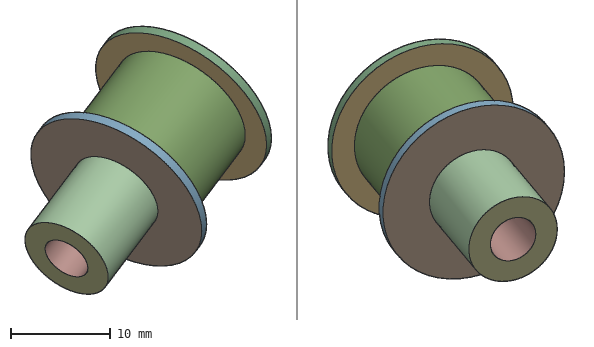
import cadquery as cq

total_length = 24.0
flange_diameter = 20.0
flange_thickness = 1.0
drum_diameter = 15.0
drum_length = 12.0
hub_diameter = 9.75
bore_diameter = 5.0

hub_length = total_length - drum_length - 2 * flange_thickness
drum_start = hub_length + flange_thickness
rear_flange_start = drum_start + drum_length


def cylinder_along_y(diameter, start, length):
    """Solid cylinder on the Y axis, running from start toward +Y."""
    plane = cq.Workplane("XZ").workplane(offset=-start)
    return plane.circle(diameter / 2).extrude(-length)


hub = cylinder_along_y(hub_diameter, 0, hub_length)
front_flange = cylinder_along_y(flange_diameter, hub_length, flange_thickness)
drum = cylinder_along_y(drum_diameter, drum_start, drum_length)
rear_flange = cylinder_along_y(flange_diameter, rear_flange_start, flange_thickness)
body = hub.union(front_flange).union(drum).union(rear_flange)

bore = cylinder_along_y(bore_diameter, 0, total_length)
result = body.cut(bore)